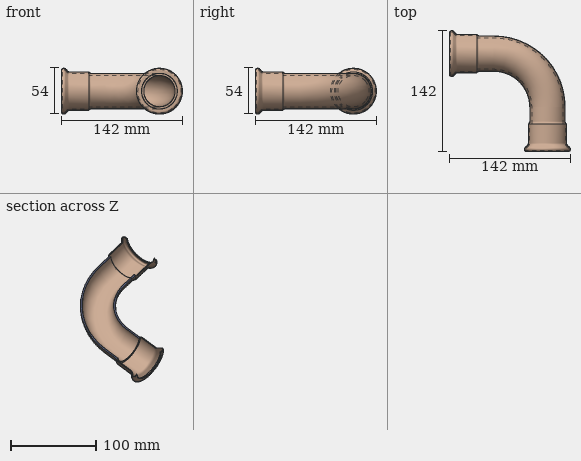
import cadquery as cq
import math

overall_size = 142.0
lip_radius = 27.0
end_length = 52.3
bend_angle = 90
axis_offset = overall_size - lip_radius
bend_radius = axis_offset - end_length

pipe_radius = 41.5 / 2
pipe_bore_radius = 18.3
socket_radius = 45.0 / 2
socket_bore_radius = 21.0
socket_wall = socket_radius - socket_bore_radius
socket_depth = 32.5

bead_round = 2.8
bead_center_radius = lip_radius - bead_round
flank_angle = math.radians(45)
neck_blend = 2.7
neck_center_radius = socket_radius + neck_blend
neck_position = bead_round + (
    (bead_round + neck_blend) - (neck_center_radius - bead_center_radius) * math.cos(flank_angle)
) / math.sin(flank_angle)

step_start = 31.4
step_blend = 2.0
step_angle = math.radians(37)
step_blend_length = step_blend * math.sin(step_angle)
step_blend_drop = step_blend * (1 - math.cos(step_angle))
step_cone_drop = socket_radius - pipe_radius - 2 * step_blend_drop
step_cone_length = step_cone_drop / math.tan(step_angle)
step_cone_start = step_start + step_blend_length
step_cone_end = step_cone_start + step_cone_length
step_end = step_cone_end + step_blend_length


def bead_outline(offset):
    """Profile from the axis out over the bead to the neck, set inward by offset."""
    rim_round = bead_round - offset
    neck_round = neck_blend + offset
    sine = math.sin(flank_angle)
    cosine = math.cos(flank_angle)
    flank_start = (bead_round + rim_round * sine, bead_center_radius + rim_round * cosine)
    flank_end = (neck_position - neck_round * sine, neck_center_radius - neck_round * cosine)
    neck = (neck_position, neck_center_radius - neck_round)
    return (
        cq.Workplane("XY")
        .moveTo(offset, 0)
        .lineTo(offset, bead_center_radius)
        .tangentArcPoint(flank_start, relative=False)
        .lineTo(*flank_end)
        .tangentArcPoint(neck, relative=False)
    )


def revolve_about_x(profile):
    return profile.close().revolve(360, (0, 0, 0), (1, 0, 0))


def end_body():
    """Solid outside of one end along +X, with its mouth at X = 0."""
    profile = (
        bead_outline(0)
        .lineTo(step_start, socket_radius)
        .tangentArcPoint((step_cone_start, socket_radius - step_blend_drop), relative=False)
        .lineTo(step_cone_end, pipe_radius + step_blend_drop)
        .tangentArcPoint((step_end, pipe_radius), relative=False)
        .lineTo(end_length, pipe_radius)
        .lineTo(end_length, 0)
    )
    return revolve_about_x(profile)


def end_cavity():
    """Mouth, seal groove, socket and pipe bore of one end."""
    groove_and_bores = (
        bead_outline(socket_wall)
        .lineTo(socket_depth, socket_bore_radius)
        .lineTo(socket_depth, pipe_bore_radius)
        .lineTo(end_length, pipe_bore_radius)
        .lineTo(end_length, 0)
    )
    mouth = cq.Workplane("YZ").circle(socket_bore_radius).extrude(socket_depth)
    return revolve_about_x(groove_and_bores).union(mouth)


def bend():
    """Quarter turn of pipe from the +X direction to the -Y direction."""
    return (
        cq.Workplane("YZ")
        .circle(pipe_radius)
        .circle(pipe_bore_radius)
        .revolve(bend_angle, (-bend_radius, 0, 0), (-bend_radius, -1, 0))
        .translate((end_length, 0, 0))
    )


first_end = end_body().cut(end_cavity())
second_end = first_end.rotate((0, 0, 0), (0, 0, 1), bend_angle).translate((axis_offset, -axis_offset, 0))

result = first_end.union(bend()).union(second_end)